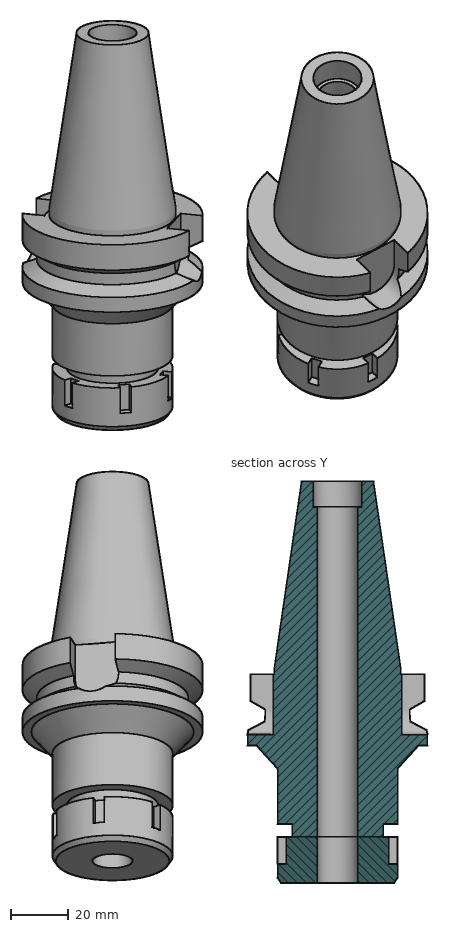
import cadquery as cq

total_height = 140.4
nut_height = 16.1
neck_top = 20.6
flare_bottom = 40.0
flange_top = 73.0
flange_height = 25.0
flange_bottom = flange_top - flange_height

taper_small_radius = 12.6
taper_large_radius = 22.2
taper_collar_height = 2.0

flange_radius = 31.52
groove_radius = 26.5
groove_start_depth = 9.4
groove_root_start_depth = 12.4
groove_root_end_depth = 16.5
groove_end_depth = 19.5

flare_radius = 28.4
shank_radius = 21.0
neck_radius = 16.0

bore_radius = 7.0
counterbore_radius = 8.4
counterbore_depth = 9.0

keyway_width = 16.1
keyway_depth = 21.0
keyway_floor_distance = 22.5

nut_radius = shank_radius
nut_chamfer_height = 1.8
nut_chamfer_width = 1.3
wrench_slot_count = 6
wrench_slot_width = 4.0
wrench_slot_bottom = 6.7
wrench_slot_floor_radius = 18.0


def make_blank():
    """Turned profile of the holder, from the neck up to the taper's small end."""
    return (
        cq.Workplane("XZ")
        .moveTo(0, nut_height)
        .lineTo(neck_radius, nut_height)
        .lineTo(neck_radius, neck_top)
        .lineTo(shank_radius, neck_top)
        .lineTo(shank_radius, flare_bottom)
        .lineTo(flare_radius, flange_bottom)
        .lineTo(flange_radius, flange_bottom)
        .lineTo(flange_radius, flange_top - groove_end_depth)
        .lineTo(groove_radius, flange_top - groove_root_end_depth)
        .lineTo(groove_radius, flange_top - groove_root_start_depth)
        .lineTo(flange_radius, flange_top - groove_start_depth)
        .lineTo(flange_radius, flange_top)
        .lineTo(taper_large_radius, flange_top)
        .lineTo(taper_large_radius, flange_top + taper_collar_height)
        .lineTo(taper_small_radius, total_height)
        .lineTo(0, total_height)
        .close()
        .revolve(360, (0, 0), (0, 1))
    )


def make_bore():
    """Through bore with a counterbore at the taper's small end."""
    through = cq.Workplane("XY").circle(bore_radius).extrude(total_height)
    counterbore = (
        cq.Workplane("XY")
        .workplane(offset=total_height - counterbore_depth)
        .circle(counterbore_radius)
        .extrude(counterbore_depth)
    )
    return through.union(counterbore)


def make_keyway():
    """Cutter for the +X keyway: open at the flange top, rounded at the bottom."""
    half_width = keyway_width / 2
    bottom = flange_top - keyway_depth
    arc_center = bottom + half_width
    return (
        cq.Workplane("YZ", origin=(keyway_floor_distance, 0, 0))
        .moveTo(-half_width, flange_top)
        .lineTo(-half_width, arc_center)
        .threePointArc((0, bottom), (half_width, arc_center))
        .lineTo(half_width, flange_top)
        .close()
        .extrude(flange_radius)
    )


def make_holder():
    holder = make_blank().cut(make_bore())
    for angle in (0, 180):
        holder = holder.cut(make_keyway().rotate((0, 0, 0), (0, 0, 1), angle))
    return holder


def make_wrench_slot():
    """Cutter for the +X wrench slot: open outwards and at the nut's top face."""
    return (
        cq.Workplane("XY", origin=(wrench_slot_floor_radius, 0, wrench_slot_bottom))
        .box(nut_radius, wrench_slot_width, nut_height, centered=(False, True, False))
    )


def make_nut():
    """Ring nut, butted against the neck, with wrench slots around its rim."""
    nut = (
        cq.Workplane("XZ")
        .moveTo(bore_radius, 0)
        .lineTo(nut_radius - nut_chamfer_width, 0)
        .lineTo(nut_radius, nut_chamfer_height)
        .lineTo(nut_radius, nut_height)
        .lineTo(bore_radius, nut_height)
        .close()
        .revolve(360, (0, 0), (0, 1))
    )
    for index in range(wrench_slot_count):
        angle = index * 360 / wrench_slot_count
        nut = nut.cut(make_wrench_slot().rotate((0, 0, 0), (0, 0, 1), angle))
    return nut


holder = make_holder().solids()
nut = make_nut().solids()

result = cq.Compound.makeCompound([holder.val(), nut.val()])